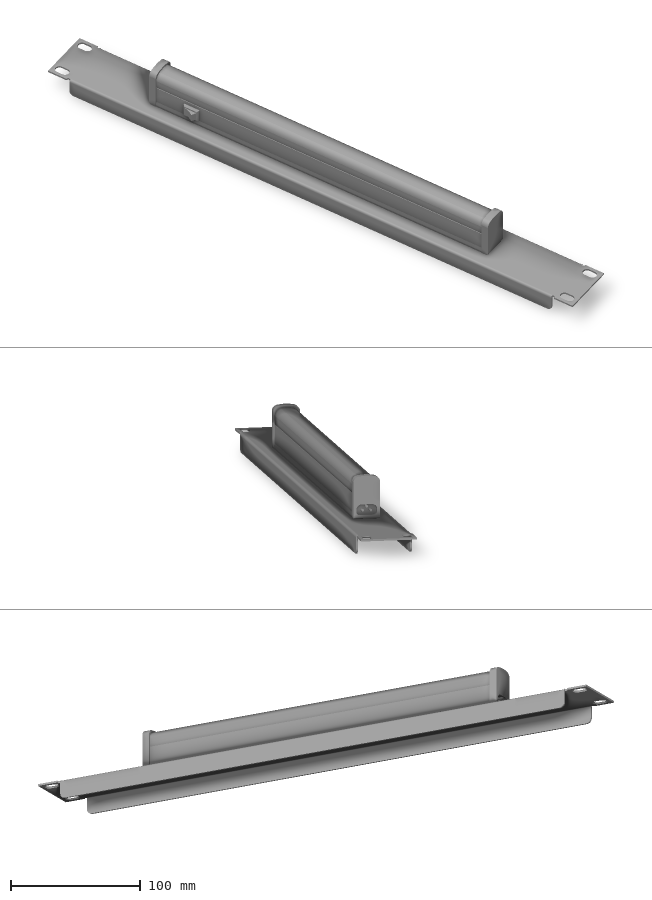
import cadquery as cq
import math

OVERALL_HEIGHT = 48.92

PANEL_LENGTH = 483.0
PANEL_WIDTH = 44.0
SHEET = 1.5
FLANGE_LENGTH = 444.0
FLANGE_DEPTH = 14.95
BEND_RADIUS = 2.0
FLANGE_CORNER = 4.0
RELIEF_WIDTH = 2.6
RELIEF_DEPTH = 1.6

SLOT_SPACING_X = 465.1
SLOT_SPACING_Y = 31.75
SLOT_LENGTH = 12.0
SLOT_WIDTH = 7.0

STRIP_LENGTH = 312.0
CAP_LENGTH = 6.0
CAP_HEIGHT = OVERALL_HEIGHT - FLANGE_DEPTH
CAP_HALF = 10.5
CAP_SIDE_TOP = 29.2
CAP_SHOULDER_HALF = 6.3
CAP_ARCH_RISE = 0.6
CAP_SHOULDER_HEIGHT = CAP_HEIGHT - CAP_ARCH_RISE
CAP_BOTTOM_RADIUS = 1.4

FOOT_HALF = 10.25
FOOT_EDGE_TOP = 1.5
FLANK_HALF = 9.5
FLANK_BOTTOM = 4.4
LIP_BOTTOM = 18.9
LIP_INSET = 0.45
BAND_BOTTOM = 23.3
BAND_TOP = 26.2
SHOULDER_HALF = 5.1
BAR_HEIGHT = 32.3
ARCH_RISE = 0.5
SHOULDER_HEIGHT = BAR_HEIGHT - ARCH_RISE
SHOULDER_BULGE = 1.0
LIP_BULGE = 0.1

SWITCH_X = -117.2
SWITCH_Z = 10.4
BEZEL_LENGTH = 13.8
BEZEL_HEIGHT = 11.0
BEZEL_DEPTH = 2.2
BEZEL_CHAMFER = 1.0
ROCKER_LENGTH = 10.6
ROCKER_HEIGHT = 6.6
ROCKER_PEAK = 6.0
ROCKER_PEAK_X = 3.3
ROCKER_SAG = 0.5

INLET_DEPTH = 4.0
INLET_WIDTH = 16.2
INLET_BOTTOM = 3.1
INLET_TOP = 11.5
INLET_TOP_RADIUS = 4.0
INLET_BOTTOM_RADIUS = 2.5
PIN_RADIUS = 1.0
PIN_Y = 3.2
PIN_Z = 6.8
EARTH_PIN_Z = 10.0


def make_rounded_block(width, height, radius):
    """Block as long as the flanges, standing on their lower edges, with rounded upper edges."""
    return (
        cq.Workplane("XY", origin=(0, 0, -FLANGE_DEPTH))
        .box(FLANGE_LENGTH, width, height, centered=(True, True, False))
        .edges("|X and >Z")
        .fillet(radius)
    )


def make_panel():
    """Folded sheet with bend reliefs, rounded flange corners and rack slots."""
    outside = make_rounded_block(PANEL_WIDTH, FLANGE_DEPTH, BEND_RADIUS)
    inside = make_rounded_block(PANEL_WIDTH - 2 * SHEET, FLANGE_DEPTH - SHEET, BEND_RADIUS - SHEET)
    channel = outside.cut(inside)
    channel = channel.edges("|Y and <Z").fillet(FLANGE_CORNER)

    ear_length = (PANEL_LENGTH - FLANGE_LENGTH) / 2
    for side in (-1, 1):
        ear_x = side * (PANEL_LENGTH - ear_length) / 2
        ear = cq.Workplane("XY", origin=(ear_x, 0, -SHEET / 2)).box(ear_length, PANEL_WIDTH, SHEET)
        channel = channel.union(ear)

    relief_x = (FLANGE_LENGTH + RELIEF_WIDTH) / 2
    relief_points = [(sx * relief_x, sy * PANEL_WIDTH / 2) for sx in (-1, 1) for sy in (-1, 1)]
    reliefs = (
        cq.Workplane("XY")
        .pushPoints(relief_points)
        .slot2D(2 * RELIEF_DEPTH, RELIEF_WIDTH, 90)
        .extrude(-SHEET)
    )
    slots = (
        cq.Workplane("XY")
        .rect(SLOT_SPACING_X, SLOT_SPACING_Y, forConstruction=True)
        .vertices()
        .slot2D(SLOT_LENGTH, SLOT_WIDTH)
        .extrude(-SHEET)
    )
    return channel.cut(reliefs).cut(slots)


def bulge_point(start, end, bulge):
    """Middle of the chord from start to end, moved to its right by bulge."""
    du = end[0] - start[0]
    dv = end[1] - start[1]
    length = math.hypot(du, dv)
    return (
        (start[0] + end[0]) / 2 + bulge * dv / length,
        (start[1] + end[1]) / 2 - bulge * du / length,
    )


def make_profile(right_side, shoulder, top_height, length):
    """Prism along X with a symmetric section: straight sides, rounded shoulders, arched top.

    right_side is a list of arc bulges and end points that runs up the +Y side from the base;
    a bulge of zero is a straight edge.
    """
    section = cq.Workplane("YZ").moveTo(0, 0)
    start = (0, 0)
    for bulge, end in [*right_side, (SHOULDER_BULGE, shoulder)]:
        if bulge:
            section = section.threePointArc(bulge_point(start, end, bulge), end)
        else:
            section = section.lineTo(*end)
        start = end
    section = section.threePointArc((0, top_height), (-shoulder[0], shoulder[1]))
    half = section.lineTo(0, 0).close().extrude(length / 2, both=True)
    return half.union(half.mirror("XZ"))


def make_bar():
    """Extruded bar: flared foot, flat flanks with a curved lip and an arched top."""
    right_side = [
        (0, (FOOT_HALF, 0)),
        (0, (FOOT_HALF, FOOT_EDGE_TOP)),
        (0, (FLANK_HALF, FLANK_BOTTOM)),
        (0, (FLANK_HALF, LIP_BOTTOM)),
        (0, (FLANK_HALF - LIP_INSET, LIP_BOTTOM)),
        (LIP_BULGE, (FLANK_HALF, BAND_BOTTOM)),
        (0, (FLANK_HALF, BAND_TOP)),
    ]
    length = STRIP_LENGTH - 2 * CAP_LENGTH
    return make_profile(right_side, (SHOULDER_HALF, SHOULDER_HEIGHT), BAR_HEIGHT, length)


def make_cap(side):
    """End cap, rounded along the bottom edge of its outer face; side is -1 or 1 along X."""
    right_side = [(0, (CAP_HALF, 0)), (0, (CAP_HALF, CAP_SIDE_TOP))]
    shoulder = (CAP_SHOULDER_HALF, CAP_SHOULDER_HEIGHT)
    cap = make_profile(right_side, shoulder, CAP_HEIGHT, CAP_LENGTH)
    outer_face = "<X" if side < 0 else ">X"
    cap = cap.faces(outer_face).edges("<Z").fillet(CAP_BOTTOM_RADIUS)
    return cap.translate((side * (STRIP_LENGTH - CAP_LENGTH) / 2, 0, 0))


def make_switch():
    """Chamfered bezel with a hollowed rocker that stands highest near its +X end."""
    bezel = (
        cq.Workplane("XZ")
        .rect(BEZEL_LENGTH, BEZEL_HEIGHT)
        .extrude(BEZEL_DEPTH)
        .faces("<Y")
        .chamfer(BEZEL_CHAMFER)
    )
    left = (-ROCKER_LENGTH / 2, -BEZEL_DEPTH)
    peak = (ROCKER_PEAK_X, -ROCKER_PEAK)
    rocker = (
        cq.Workplane("XY")
        .moveTo(left[0], 0)
        .lineTo(*left)
        .threePointArc(bulge_point(left, peak, -ROCKER_SAG), peak)
        .lineTo(ROCKER_LENGTH / 2, -BEZEL_DEPTH)
        .lineTo(ROCKER_LENGTH / 2, 0)
        .close()
        .extrude(ROCKER_HEIGHT / 2, both=True)
    )
    return bezel.union(rocker).translate((SWITCH_X, -FLANK_HALF, SWITCH_Z))


def make_inlet():
    """Recess in the -X end cap with its three round pins left standing."""
    end = -STRIP_LENGTH / 2
    height = INLET_TOP - INLET_BOTTOM
    recess = (
        cq.Workplane("XY", origin=(end, 0, INLET_BOTTOM))
        .box(2 * INLET_DEPTH, INLET_WIDTH, height, centered=(True, True, False))
        .edges("|X and >Z")
        .fillet(INLET_TOP_RADIUS)
        .edges("|X and <Z")
        .fillet(INLET_BOTTOM_RADIUS)
    )
    pins = (
        cq.Workplane("YZ", origin=(end, 0, 0))
        .pushPoints([(-PIN_Y, PIN_Z), (PIN_Y, PIN_Z), (0, EARTH_PIN_Z)])
        .circle(PIN_RADIUS)
        .extrude(INLET_DEPTH)
    )
    return recess.cut(pins)


panel = make_panel()
strip = make_bar()
for cap_side in (-1, 1):
    strip = strip.union(make_cap(cap_side))
strip = strip.union(make_switch()).cut(make_inlet())

result = cq.Compound.makeCompound([panel.val(), strip.val()])